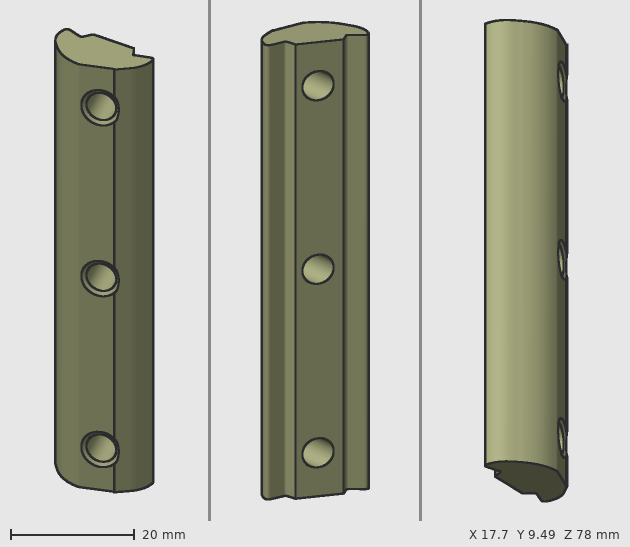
import cadquery as cq
import math

length = 78.0
half_width = 8.85
depth = 9.5

rail_half_width = 4.05
groove_half_width = 5.15
groove_depth = 1.9
groove_radius = 0.4
lip_radius = 0.6

belly_radius = 8.8
shoulder_angle = math.radians(45)
flank_radius = 4.9
flank_end_angle = math.radians(18)
flat_angle = 20.0
flat_start_x = -0.15
flat_end_x = 5.45
nose_radius = 1.3

hole_x = 3.3
hole_pitch = 31.5
hole_diameter = 5.0
countersink_diameter = 6.5
countersink_depth = 0.5
drill_length = 15.6
mouth_clearance = 1.55


def make_body():
    """Extrude the section along Z, still without the slanted flat."""
    belly_center_y = belly_radius
    shoulder_x = belly_radius * math.sin(shoulder_angle)
    shoulder_y = belly_center_y - belly_radius * math.cos(shoulder_angle)
    flank_center_x = half_width - flank_radius
    flank_x = flank_center_x + flank_radius * math.sin(shoulder_angle)
    flank_y = shoulder_y + (flank_x - shoulder_x) * math.tan(shoulder_angle)
    flank_center_y = flank_y + flank_radius * math.cos(shoulder_angle)
    lip_x = flank_center_x + flank_radius * math.cos(flank_end_angle)
    lip_y = flank_center_y + flank_radius * math.sin(flank_end_angle)
    groove_y = depth - groove_depth
    ledge_y = shoulder_y - (shoulder_x - flat_end_x) * math.tan(shoulder_angle)
    belly_end_y = belly_center_y - math.sqrt(belly_radius**2 - flat_end_x**2)

    body = (
        cq.Workplane("XY", origin=(0, 0, -length / 2))
        .moveTo(-shoulder_x, shoulder_y)
        .threePointArc((0, 0), (flat_end_x, belly_end_y))
        .lineTo(flat_end_x, ledge_y)
        .lineTo(flank_x, flank_y)
        .threePointArc((half_width, flank_center_y), (lip_x, lip_y))
        .lineTo(groove_half_width, groove_y)
        .lineTo(rail_half_width, depth)
        .lineTo(-rail_half_width, depth)
        .lineTo(-groove_half_width, groove_y)
        .lineTo(-lip_x, lip_y)
        .threePointArc((-half_width, flank_center_y), (-flank_x, flank_y))
        .close()
        .extrude(length)
    )
    for radius, x, y in ((groove_radius, groove_half_width, groove_y), (lip_radius, lip_x, lip_y)):
        for side in (-1, 1):
            edge = cq.selectors.NearestToPointSelector((side * x, y, 0))
            body = body.edges("|Z").edges(edge).fillet(radius)
    return body


def flat_y(x):
    """Y of the slanted flat at a given X."""
    return (x - flat_start_x) * math.tan(math.radians(flat_angle))


def make_flat_cutter():
    """Wedge that removes the belly in front of the slanted flat, leaving a low ledge at its end."""
    wall_foot_y = flat_y(flat_end_x)
    wall_top_x = flat_end_x + wall_foot_y * math.tan(math.radians(flat_angle))
    return (
        cq.Workplane("XY", origin=(0, 0, -length / 2))
        .moveTo(flat_start_x, 0)
        .lineTo(flat_end_x, wall_foot_y)
        .lineTo(wall_top_x, 0)
        .close()
        .extrude(length)
    )


def make_hole_cutter(z):
    """Through drill with a conical mouth on the flat, cut clear through the ledge in front of it."""
    angle = math.radians(flat_angle)
    inward = cq.Vector(-math.sin(angle), math.cos(angle), 0)
    mouth = cq.Vector(hole_x, flat_y(hole_x), z)
    drill = cq.Solid.makeCylinder(hole_diameter / 2, drill_length, mouth, inward)
    cone = cq.Solid.makeCone(
        countersink_diameter / 2, hole_diameter / 2, countersink_depth, mouth, inward
    )
    clearance = cq.Solid.makeCylinder(
        countersink_diameter / 2, mouth_clearance, mouth, inward.multiply(-1)
    )
    return drill.fuse(cone, clearance)


nose_edge = cq.selectors.NearestToPointSelector((flat_start_x, 0, 0))
result = make_body().cut(make_flat_cutter())
result = result.edges("|Z").edges(nose_edge).fillet(nose_radius)
for index in (-1, 0, 1):
    result = result.cut(make_hole_cutter(index * hole_pitch))